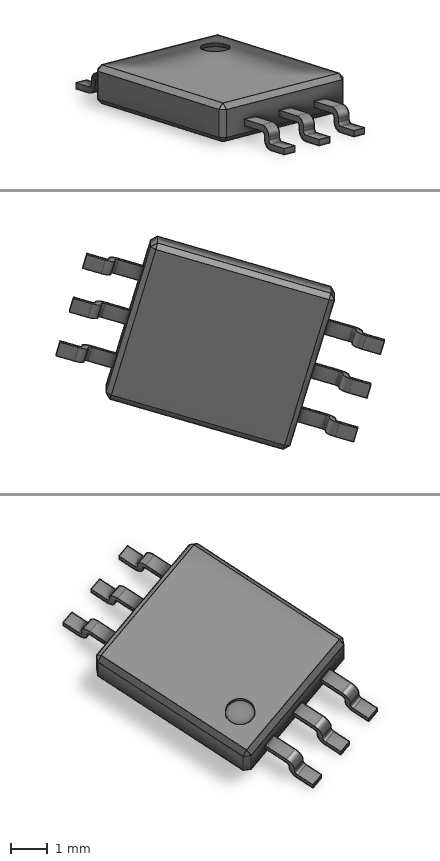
import cadquery as cq

overall_length = 8.42
overall_height = 1.2
housing_length = 5.2
housing_width = 4.54
standoff = 0.11
housing_height = overall_height - standoff
edge_chamfer = 0.15

lead_count = 3
lead_pitch = 1.27
lead_width = 0.395
lead_thickness = 0.18
lead_top = 0.65
foot_length = 0.52
inner_bend_radius = 0.1
outer_bend_radius = inner_bend_radius + lead_thickness

marker_diameter = 0.8
marker_edge_distance = 0.99
marker_x = marker_edge_distance - housing_length / 2
marker_y = lead_pitch * (lead_count - 1) / 2
marker_thickness = 0.1
marker_recess = 0.1


def make_housing_blank():
    """Rectangular block with every edge chamfered."""
    return (
        cq.Workplane("XY")
        .box(housing_length, housing_width, housing_height, centered=(True, True, False))
        .edges()
        .chamfer(edge_chamfer)
        .translate((0, 0, standoff))
    )


def make_lead(y):
    """Gull-wing strip centred on the given Y, bent down to a foot at each end."""
    tip_x = overall_length / 2
    foot_end_x = tip_x - foot_length
    riser_outer_x = foot_end_x - inner_bend_radius
    riser_inner_x = riser_outer_x - lead_thickness
    bar_underside = lead_top - lead_thickness
    half = (
        cq.Workplane("XZ", origin=(0, y, 0))
        .moveTo(0, lead_top)
        .lineTo(riser_outer_x - outer_bend_radius, lead_top)
        .radiusArc((riser_outer_x, lead_top - outer_bend_radius), outer_bend_radius)
        .lineTo(riser_outer_x, lead_thickness + inner_bend_radius)
        .radiusArc((foot_end_x, lead_thickness), -inner_bend_radius)
        .lineTo(tip_x, lead_thickness)
        .lineTo(tip_x, 0)
        .lineTo(foot_end_x, 0)
        .radiusArc((riser_inner_x, outer_bend_radius), outer_bend_radius)
        .lineTo(riser_inner_x, bar_underside - inner_bend_radius)
        .radiusArc((riser_inner_x - inner_bend_radius, bar_underside), -inner_bend_radius)
        .lineTo(0, bar_underside)
        .close()
        .extrude(lead_width / 2, both=True)
    )
    return half.union(half.mirror("YZ")).clean().solids()


def make_marker_cylinder(thickness):
    """Cylinder at the marker position, standing on the marker's underside."""
    underside = overall_height - marker_recess - marker_thickness
    return (
        cq.Workplane("XY", origin=(marker_x, marker_y, underside))
        .circle(marker_diameter / 2)
        .extrude(thickness)
    )


leads = []
for index in range(lead_count):
    lead_y = (index - (lead_count - 1) / 2) * lead_pitch
    leads.append(make_lead(lead_y))

marker = make_marker_cylinder(marker_thickness)

housing = make_housing_blank().cut(make_marker_cylinder(marker_thickness + marker_recess))
for lead in leads:
    housing = housing.cut(lead)

result = cq.Compound.makeCompound(
    [housing.solids().val(), marker.val(), *[lead.val() for lead in leads]]
)